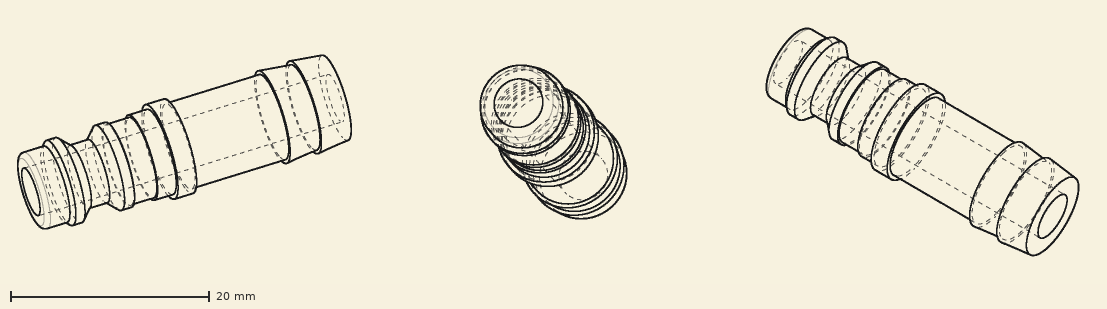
import cadquery as cq


collar_diameter = 10.0
barb_diameter = 9.8
body_diameter = 9.0
seat_diameter = 8.5
tip_diameter = 8.1
neck_diameter = 6.7
bore_diameter = 5.0

total_length = 33.0
tip_length = 2.65
front_land_length = 1.0
neck_length = 1.98
rear_land_length = 1.1
seat_length = 2.5
shoulder_length = 2.0
collar_length = 2.0
barb_length = 3.4
barb_count = 2
tip_fillet = 0.5

body_radius = body_diameter / 2
tip_radius = tip_diameter / 2
neck_radius = neck_diameter / 2

tip_cone_length = body_radius - tip_radius
neck_cone_length = body_radius - neck_radius

front_land_start = tip_length + tip_cone_length
front_land_end = front_land_start + front_land_length
neck_start = front_land_end + neck_cone_length
neck_end = neck_start + neck_length
rear_land_start = neck_end + neck_cone_length
seat_start = rear_land_start + rear_land_length
shoulder_start = seat_start + seat_length
collar_start = shoulder_start + shoulder_length
barbs_start = total_length - barb_count * barb_length


def cylinder(diameter, start, length):
    """Solid cylinder on the Y axis, from start towards +Y."""
    circle = cq.Workplane("XZ", origin=(0, start, 0)).circle(diameter / 2)
    return circle.extrude(-length)


def make_plug_body():
    """Plug and hose stem without the collar and barbs."""
    outline = [
        (0, 0),
        (tip_radius, 0),
        (tip_radius, tip_length),
        (body_radius, front_land_start),
        (body_radius, front_land_end),
        (neck_radius, neck_start),
        (neck_radius, neck_end),
        (body_radius, rear_land_start),
        (body_radius, seat_start),
        (seat_diameter / 2, seat_start),
        (seat_diameter / 2, shoulder_start),
        (body_radius, shoulder_start),
        (body_radius, total_length),
        (0, total_length),
    ]
    body = cq.Workplane("XY").polyline(outline).close().revolve(360, (0, 0), (0, 1))
    return body.faces("<Y").edges().fillet(tip_fillet)


def make_barb(start):
    """Conical barb, widest at start and tapering to the stem towards +Y."""
    outline = [
        (0, start),
        (barb_diameter / 2, start),
        (body_radius, start + barb_length),
        (0, start + barb_length),
    ]
    return cq.Workplane("XY").polyline(outline).close().revolve(360, (0, 0), (0, 1))


result = make_plug_body()
result = result.union(cylinder(collar_diameter, collar_start, collar_length))
for index in range(barb_count):
    result = result.union(make_barb(barbs_start + index * barb_length))

result = result.cut(cylinder(bore_diameter, 0, total_length))